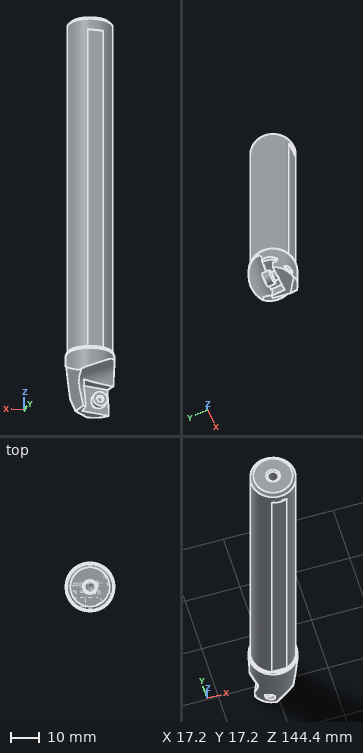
import cadquery as cq
import math

LENGTH = 144.4
SHANK_RADIUS = 8.02
HEAD_RADIUS = 8.6
HEAD_HEIGHT = 21.0
HEAD_CHAMFER = 0.6
COLLAR_RADIUS = 8.2
COLLAR_HEIGHT = 0.5
END_CHAMFER = 1.2
FLAT_DISTANCE = 7.5
FLAT_TOP = 139.4
CUT_SIZE = 57.8

END_HOLE_RADIUS = 1.9
END_COUNTERSINK = 0.6
END_HOLE_DEPTH = 11.5
DRILL_POINT_ANGLE = 118.0

FLUTE_FLOOR_Y = 1.2
FLUTE_FLOOR_TILT = 6.0
FLUTE_FILLET = 5.8
FLUTE_WALL_HEIGHT = 16.9
FLUTE_WALL_NORMAL = (-0.44, -0.29, -1.0)

BACK_RELIEF_NORMAL = (0.96, 0.17, -0.22)
BACK_RELIEF_DISTANCE = 2.7
BACK_WALL_NORMAL = (0, -0.5, -1.0)
BACK_WALL_HEIGHT = 15.3
HEEL_NORMAL = (1.3, -1.7, -1.0)
HEEL_HEIGHT = -12.4

INSERT_WIDTH = 9.5
INSERT_ANGLE = 80.0
EDGE_TILT = 5.0
SEAT_Y = -3.6
TIP_X = -math.sqrt(HEAD_RADIUS**2 - SEAT_Y**2)

CLEARANCE_TURN = 13.0
CLEARANCE_DEPTH = 0.7
CLEARANCE_DEEPEST_Z = 9.2
CLEARANCE_TOP_Z = 11.1

SCREW_X = -3.3
SCREW_Z = 4.0
SCREW_RADIUS = 1.66
SCREW_HEAD_RADIUS = 2.6
SCREW_HEAD_TOP_Y = 1.5
SCREW_HEAD_BOTTOM_Y = -1.3
SCREW_CONE_BOTTOM_Y = -1.9
SCREW_END_Y = -6.6
SOCKET_RADIUS = 1.3
SOCKET_DEPTH = 1.3


def block_beyond(point, normal):
    """Large block whose flat side passes through the point and which lies along the normal."""
    plane = cq.Plane(origin=point, normal=normal)
    return cq.Workplane(plane).rect(2 * CUT_SIZE, 2 * CUT_SIZE).extrude(CUT_SIZE)


def turned_blank():
    collar_bottom = HEAD_HEIGHT - COLLAR_HEIGHT
    profile = [
        (0, 0),
        (HEAD_RADIUS, 0),
        (HEAD_RADIUS, collar_bottom - HEAD_CHAMFER),
        (COLLAR_RADIUS, collar_bottom),
        (COLLAR_RADIUS, HEAD_HEIGHT),
        (SHANK_RADIUS, HEAD_HEIGHT),
        (SHANK_RADIUS, LENGTH - END_CHAMFER),
        (SHANK_RADIUS - END_CHAMFER, LENGTH),
        (0, LENGTH),
    ]
    return cq.Workplane("XZ").polyline(profile).close().revolve(360, (0, 0), (0, 1))


def shank_flats():
    height = FLAT_TOP - HEAD_HEIGHT
    middle = HEAD_HEIGHT + height / 2
    offset = FLAT_DISTANCE + CUT_SIZE / 2
    places = [(0, -offset, middle), (0, offset, middle)]
    return cq.Workplane().pushPoints(places).box(CUT_SIZE, CUT_SIZE, height)


def end_hole():
    point_depth = END_HOLE_RADIUS / math.tan(math.radians(DRILL_POINT_ANGLE / 2))
    bottom = LENGTH - END_HOLE_DEPTH
    profile = [
        (0, LENGTH),
        (END_HOLE_RADIUS + END_COUNTERSINK, LENGTH),
        (END_HOLE_RADIUS, LENGTH - END_COUNTERSINK),
        (END_HOLE_RADIUS, bottom),
        (0, bottom - point_depth),
    ]
    return cq.Workplane("XZ").polyline(profile).close().revolve(360, (0, 0), (0, 1))


def chip_flute():
    """Space above the flute floor and below its sloping wall, rounded where the two meet."""
    tilt = math.radians(FLUTE_FLOOR_TILT)
    above_floor = block_beyond((0, FLUTE_FLOOR_Y, 0), (-math.sin(tilt), math.cos(tilt), 0))
    below_wall = block_beyond((0, 0, FLUTE_WALL_HEIGHT), FLUTE_WALL_NORMAL)
    space = above_floor.intersect(below_wall)
    corner = cq.selectors.NearestToPointSelector((0, FLUTE_FLOOR_Y, FLUTE_WALL_HEIGHT))
    return space.edges(corner).fillet(FLUTE_FILLET)


def back_relief():
    point = tuple(BACK_RELIEF_DISTANCE * n for n in BACK_RELIEF_NORMAL)
    below_wall = block_beyond((0, 0, BACK_WALL_HEIGHT), BACK_WALL_NORMAL)
    return block_beyond(point, BACK_RELIEF_NORMAL).intersect(below_wall)


def end_relief():
    """Cut that slopes the bottom end up from the insert tip."""
    tilt = math.radians(EDGE_TILT)
    return block_beyond((TIP_X, 0, 0), (math.sin(tilt), 0, -math.cos(tilt)))


def seat_corners():
    """X and Z of the insert outline: tip, end corner, far corner, side corner."""
    side = INSERT_WIDTH / math.sin(math.radians(INSERT_ANGLE))
    end_angle = math.radians(EDGE_TILT)
    side_angle = math.radians(EDGE_TILT + INSERT_ANGLE)
    end_x, end_z = side * math.cos(end_angle), side * math.sin(end_angle)
    side_x, side_z = side * math.cos(side_angle), side * math.sin(side_angle)
    return [
        (TIP_X, 0),
        (TIP_X + end_x, end_z),
        (TIP_X + end_x + side_x, end_z + side_z),
        (TIP_X + side_x, side_z),
    ]


def insert_seat():
    """Insert outline, carried past the bar along both open edges."""
    tip, end, far, side = seat_corners()
    below_end = (end[0] + tip[0] - side[0], end[1] + tip[1] - side[1])
    beside_side = (side[0] + tip[0] - end[0], side[1] + tip[1] - end[1])
    outer = (beside_side[0], below_end[1])
    outline = [below_end, far, beside_side, outer]
    floor = cq.Workplane("XZ", origin=(0, SEAT_Y, 0))
    return floor.polyline(outline).close().extrude(-CUT_SIZE)


def side_clearance():
    deepest = CLEARANCE_DEPTH - HEAD_RADIUS
    outline = [
        (-HEAD_RADIUS, 0),
        (deepest, CLEARANCE_DEEPEST_Z),
        (-HEAD_RADIUS, CLEARANCE_TOP_Z),
        (-CUT_SIZE, CLEARANCE_TOP_Z),
        (-CUT_SIZE, 0),
    ]
    prism = cq.Workplane("XZ").polyline(outline).close().extrude(CUT_SIZE / 2, both=True)
    return prism.rotate((0, 0, 0), (0, 0, 1), CLEARANCE_TURN)


def screw_hole():
    floor = cq.Workplane("XZ", origin=(SCREW_X, SEAT_Y, SCREW_Z))
    return floor.circle(SCREW_RADIUS).extrude(CUT_SIZE)


def build_bar():
    bar = turned_blank().cut(shank_flats()).cut(end_hole())
    bar = bar.cut(chip_flute()).cut(back_relief()).cut(end_relief())
    heel = block_beyond((0, 0, HEEL_HEIGHT), HEEL_NORMAL)
    bar = bar.cut(heel).cut(side_clearance())
    return bar.cut(insert_seat()).cut(screw_hole())


def build_screw():
    profile = [
        (0, SCREW_END_Y),
        (SCREW_RADIUS, SCREW_END_Y),
        (SCREW_RADIUS, SCREW_CONE_BOTTOM_Y),
        (SCREW_HEAD_RADIUS, SCREW_HEAD_BOTTOM_Y),
        (SCREW_HEAD_RADIUS, SCREW_HEAD_TOP_Y),
        (0, SCREW_HEAD_TOP_Y),
    ]
    screw = cq.Workplane("XY").polyline(profile).close().revolve(360, (0, 0), (0, 1))
    socket = cq.Workplane("XZ", origin=(0, SCREW_HEAD_TOP_Y, 0)).polygon(6, 2 * SOCKET_RADIUS)
    return screw.cut(socket.extrude(SOCKET_DEPTH)).translate((SCREW_X, 0, SCREW_Z))


bar = build_bar()
insert_screw = build_screw()
result = cq.Compound.makeCompound([bar.val(), insert_screw.val()])